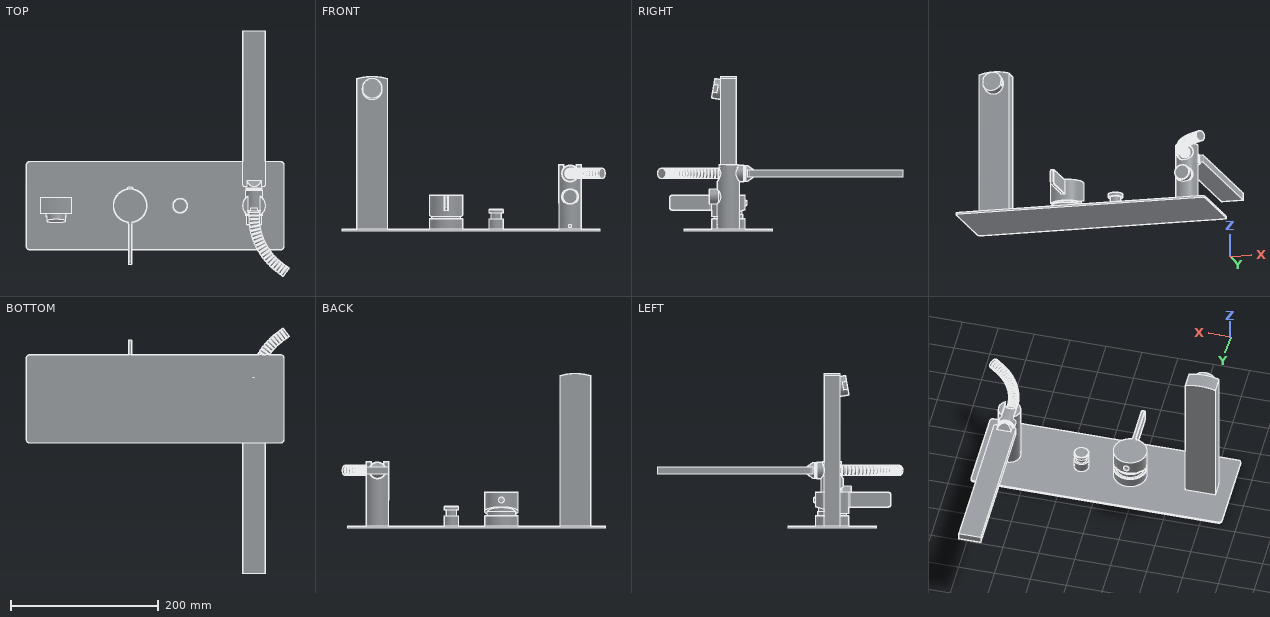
import cadquery as cq
import math

plate_length = 349.8
plate_width = 120.0
plate_thickness = 2.5
plate_corner_radius = 4.5

outer_fitting_x = 134.2
inner_fitting_x = 34.0
spout_x = -outer_fitting_x
mixer_x = -inner_fitting_x
diverter_x = inner_fitting_x
post_x = outer_fitting_x

edge_chamfer = 0.7

spout_width = 42.0
spout_depth = 21.8
spout_top_z = 210.0
spout_arch_rise = 3.2
nozzle_radius = 13.5
nozzle_length = 18.0
nozzle_tilt = 10.0
nozzle_face_y = -20.7
nozzle_face_z = 193.8
nozzle_flat_spacing = 25.0
nozzle_flat_length = 6.0

mixer_radius = 23.0
mixer_base_top_z = 17.0
mixer_neck_radius = 19.5
mixer_neck_top_z = 22.5
mixer_core_radius = 18.5
mixer_cap_bottom_z = 19.5
mixer_cap_top_z = 49.0
cap_relief_start_y = -10.5
cap_relief_back_z = 29.0
lever_thickness = 5.0
lever_bottom_z = 28.2
lever_tip_y = -80.0
lever_corner_radius = 4.0
lever_edge_chamfer = 0.7
lever_root_thickness = 8.2
lever_root_end_y = -24.5
indicator_radius = 4.0
indicator_tip_y = 25.5
indicator_z = 38.2
indicator_rounding = 2.0

diverter_radius = 10.0
diverter_base_top_z = 16.5
diverter_stem_radius = 7.0
diverter_knob_bottom_z = 24.5
diverter_top_z = 29.5

post_radius = 15.5
post_top_z = 90.3
post_knob_radius = 10.5
post_knob_tip_y = -26.0
post_knob_z = 46.8
post_collar_radius = 11.5
post_collar_front_y = -13.2
set_screw_radius = 2.0
set_screw_depth = 1.8
set_screw_z = 6.8
cradle_slot_width = 16.8

shower_axis_z = 78.0
connector_radius = 11.5
connector_front_y = -7.5
connector_back_y = 20.5
connector_flat_y = -3.2
connector_flat_height = 10.5
groove_radius = 9.5
groove_back_y = 24.0
groove_ring_radius = 10.7
groove_ring_width = 1.0
ferrule_radius = 11.0
ferrule_shoulder_y = 25.7
ferrule_slope_end_y = 34.3
shower_width = 2 * post_radius
shower_thickness = 10.0
shower_front_y = 25.7
shower_back_y = 237.0
shower_corner_radius = 3.0

hose_start_length = 7.5
hose_bend_radius = 85.5
hose_bend_angle = 53.0
hose_end_length = 11.8
hose_core_radius = 6.0
hose_rib_radius = 7.0
hose_rib_count = 20
hose_rib_share = 0.7


def disc(radius, x, bottom_z, top_z):
    """Upright cylinder centred on Y = 0."""
    return cq.Workplane("XY", origin=(x, 0, bottom_z)).circle(radius).extrude(top_z - bottom_z)


def rod_along_y(radius, x, z, front_y, back_y):
    """Cylinder parallel to Y, from front_y to back_y."""
    return cq.Workplane("XZ", origin=(x, back_y, z)).circle(radius).extrude(back_y - front_y)


def block(x_center, x_size, y_min, y_max, z_min, z_max):
    """Box symmetric about x_center and bounded in Y and Z."""
    return (
        cq.Workplane("XY")
        .box(x_size, y_max - y_min, z_max - z_min, centered=(True, False, False))
        .translate((x_center, y_min, z_min))
    )


def make_plate():
    return (
        cq.Workplane("XY")
        .rect(plate_length, plate_width)
        .extrude(plate_thickness)
        .edges("|Z")
        .fillet(plate_corner_radius)
    )


def make_nozzle():
    """Outlet nozzle with two wrench flats next to its face."""
    tilt = math.radians(nozzle_tilt)
    face = cq.Plane(
        origin=(spout_x, nozzle_face_y, nozzle_face_z),
        xDir=(1, 0, 0),
        normal=(0, -math.cos(tilt), math.sin(tilt)),
    )
    nozzle = cq.Workplane(face).circle(nozzle_radius).extrude(-nozzle_length)
    flat_offset = (nozzle_flat_spacing + nozzle_radius) / 2
    flats = (
        cq.Workplane(face)
        .pushPoints([(-flat_offset, 0), (flat_offset, 0)])
        .rect(nozzle_radius, 2 * nozzle_radius)
        .extrude(-nozzle_flat_length)
    )
    return nozzle.cut(flats)


def make_spout():
    half_width = spout_width / 2
    shoulder_z = spout_top_z - spout_arch_rise
    column = (
        cq.Workplane("XZ", origin=(spout_x, spout_depth / 2, 0))
        .moveTo(-half_width, 0)
        .lineTo(half_width, 0)
        .lineTo(half_width, shoulder_z)
        .threePointArc((0, spout_top_z), (-half_width, shoulder_z))
        .close()
        .extrude(spout_depth)
    )
    return column.union(make_nozzle())


def make_lever():
    """Flat lever with rounded tip corners and a flared root."""
    bar = (
        block(mixer_x, lever_thickness, lever_tip_y, 0, lever_bottom_z, mixer_cap_top_z)
        .edges("|X and <Y")
        .fillet(lever_corner_radius)
        .faces("<X or >X")
        .chamfer(lever_edge_chamfer)
    )
    root = (
        cq.Workplane("XY", origin=(mixer_x, 0, lever_bottom_z))
        .moveTo(-lever_root_thickness / 2, 0)
        .lineTo(-lever_root_thickness / 2, -mixer_neck_radius)
        .lineTo(-lever_thickness / 2, lever_root_end_y)
        .lineTo(lever_thickness / 2, lever_root_end_y)
        .lineTo(lever_root_thickness / 2, -mixer_neck_radius)
        .lineTo(lever_root_thickness / 2, 0)
        .close()
        .extrude(mixer_cap_top_z - lever_bottom_z)
    )
    return bar.union(root)


def make_mixer():
    base = disc(mixer_radius, mixer_x, 0, mixer_base_top_z).faces(">Z").chamfer(edge_chamfer)
    neck = disc(mixer_neck_radius, mixer_x, 0, mixer_neck_top_z)
    core = disc(mixer_core_radius, mixer_x, 0, mixer_cap_top_z)
    cap = disc(mixer_radius, mixer_x, mixer_cap_bottom_z, mixer_cap_top_z)
    relief = (
        cq.Workplane("YZ", origin=(mixer_x, 0, 0))
        .moveTo(cap_relief_start_y, mixer_cap_bottom_z)
        .lineTo(mixer_radius, mixer_cap_bottom_z)
        .lineTo(mixer_radius, cap_relief_back_z)
        .close()
        .extrude(mixer_radius, both=True)
    )
    indicator = (
        rod_along_y(indicator_radius, mixer_x, indicator_z, 0, indicator_tip_y)
        .faces(">Y")
        .fillet(indicator_rounding)
    )
    return cap.cut(relief).union(base).union(neck).union(core).union(indicator).union(make_lever())


def make_diverter():
    base = disc(diverter_radius, diverter_x, 0, diverter_base_top_z)
    stem = disc(diverter_stem_radius, diverter_x, 0, diverter_top_z)
    knob = disc(diverter_radius, diverter_x, diverter_knob_bottom_z, diverter_top_z)
    return base.union(stem).union(knob.faces(">Z").chamfer(edge_chamfer))


def make_post():
    """Holder post with an open cradle across its top and a knob on its front."""
    post = disc(post_radius, post_x, 0, post_top_z)
    bore = rod_along_y(connector_radius, post_x, shower_axis_z, -post_radius, post_radius)
    slot = block(post_x, cradle_slot_width, -post_radius, post_radius, shower_axis_z, post_top_z)
    set_screw_hole = rod_along_y(
        set_screw_radius, post_x, set_screw_z, -post_radius, set_screw_depth - post_radius
    )
    knob = rod_along_y(post_knob_radius, post_x, post_knob_z, post_knob_tip_y, 0)
    knob = knob.faces("<Y").chamfer(edge_chamfer)
    collar = rod_along_y(post_collar_radius, post_x, post_knob_z, post_collar_front_y, 0)
    return post.cut(bore).cut(slot).cut(set_screw_hole).union(collar).union(knob)


def make_faucet():
    """Fixed body: the deck plate with its four fittings."""
    faucet = make_plate()
    for fitting in (make_spout(), make_mixer(), make_diverter(), make_post()):
        faucet = faucet.union(fitting)
    return faucet


def make_connector():
    """Round end of the shower, from the hose to the sloped ferrule at the slab."""
    half_thickness = shower_thickness / 2
    connector = rod_along_y(
        connector_radius, post_x, shower_axis_z, connector_front_y, connector_back_y
    )
    connector = connector.faces("<Y").chamfer(edge_chamfer)
    flat = block(
        post_x,
        2 * connector_radius,
        connector_front_y,
        connector_flat_y,
        shower_axis_z + connector_flat_height,
        shower_axis_z + connector_radius,
    )
    groove = rod_along_y(groove_radius, post_x, shower_axis_z, connector_back_y, groove_back_y)
    ring_center_y = (connector_back_y + groove_back_y) / 2
    groove_ring = rod_along_y(
        groove_ring_radius,
        post_x,
        shower_axis_z,
        ring_center_y - groove_ring_width / 2,
        ring_center_y + groove_ring_width / 2,
    )
    ferrule = rod_along_y(ferrule_radius, post_x, shower_axis_z, groove_back_y, ferrule_slope_end_y)
    ferrule_profile = (
        cq.Workplane("YZ", origin=(post_x, 0, shower_axis_z))
        .moveTo(groove_back_y, -ferrule_radius)
        .lineTo(ferrule_shoulder_y, -ferrule_radius)
        .lineTo(ferrule_slope_end_y, -half_thickness)
        .lineTo(ferrule_slope_end_y, half_thickness)
        .lineTo(ferrule_shoulder_y, ferrule_radius)
        .lineTo(groove_back_y, ferrule_radius)
        .close()
        .extrude(ferrule_radius, both=True)
    )
    ferrule = ferrule.intersect(ferrule_profile)
    return connector.cut(flat).union(groove).union(groove_ring).union(ferrule)


def make_slab():
    """Flat spray head of the hand shower."""
    return (
        block(
            post_x,
            shower_width,
            shower_front_y,
            shower_back_y,
            shower_axis_z - shower_thickness / 2,
            shower_axis_z + shower_thickness / 2,
        )
        .edges("|Z and <Y")
        .fillet(shower_corner_radius)
    )


def hose_frame(distance):
    """Plane across the hose at a distance along its centre line, its normal along the hose."""
    bend_length = hose_bend_radius * math.radians(hose_bend_angle)
    before_bend = min(distance, hose_start_length)
    within_bend = min(max(distance - hose_start_length, 0), bend_length)
    after_bend = max(distance - hose_start_length - bend_length, 0)
    angle = within_bend / hose_bend_radius
    across = hose_bend_radius * (1 - math.cos(angle)) + after_bend * math.sin(angle)
    along = before_bend + hose_bend_radius * math.sin(angle) + after_bend * math.cos(angle)
    return cq.Plane(
        origin=(post_x + across, connector_front_y - along, shower_axis_z),
        xDir=(0, 0, 1),
        normal=(math.sin(angle), -math.cos(angle), 0),
    )


def make_hose():
    """Swept core with evenly spaced ribs, the last one flush with the free end."""
    bend_length = hose_bend_radius * math.radians(hose_bend_angle)
    hose_length = hose_start_length + bend_length + hose_end_length
    bend_start = hose_frame(hose_start_length)
    bend_middle = hose_frame(hose_start_length + bend_length / 2)
    bend_end = hose_frame(hose_start_length + bend_length)
    center_line = (
        cq.Workplane("XY", origin=(0, 0, shower_axis_z))
        .moveTo(post_x, connector_front_y)
        .lineTo(bend_start.origin.x, bend_start.origin.y)
        .threePointArc(
            (bend_middle.origin.x, bend_middle.origin.y),
            (bend_end.origin.x, bend_end.origin.y),
        )
        .lineTo(hose_frame(hose_length).origin.x, hose_frame(hose_length).origin.y)
    )
    hose = cq.Workplane(hose_frame(0)).circle(hose_core_radius).sweep(center_line)
    rib_pitch = hose_length / hose_rib_count
    rib_length = rib_pitch * hose_rib_share
    for index in range(hose_rib_count):
        rib_end = hose_frame((index + 1) * rib_pitch)
        hose = hose.union(cq.Workplane(rib_end).circle(hose_rib_radius).extrude(-rib_length))
    return hose


def make_hand_shower():
    """Loose body: spray slab, connector and hose in one piece."""
    return make_slab().union(make_connector()).union(make_hose())


faucet = make_faucet()
hand_shower = make_hand_shower()

result = cq.Compound.makeCompound([faucet.val(), hand_shower.val()])